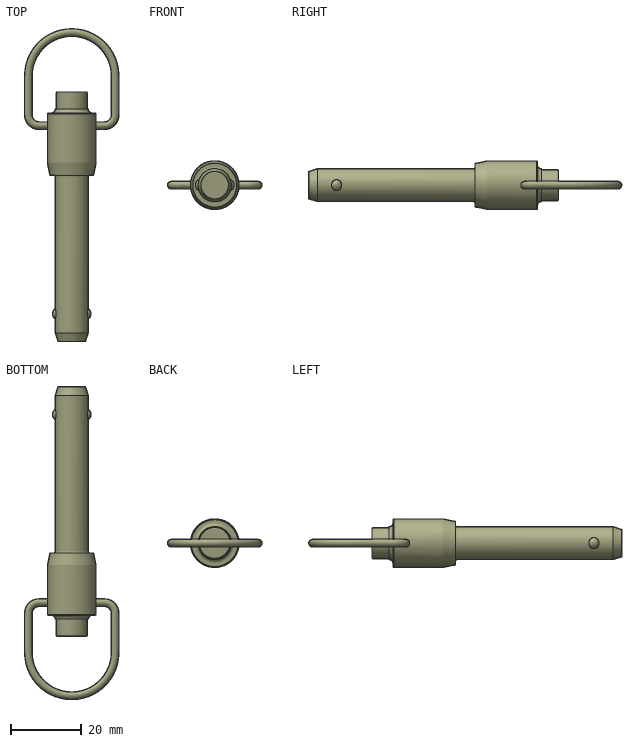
import cadquery as cq
import math

total_length = 89.3
shank_radius = 4.7
tip_radius = 3.9
tip_taper_length = 2.5

body_radius = 7.0
body_nose_radius = 6.25
shank_root_fillet = 0.4
body_start = 47.4
nose_taper_length = 3.6
body_end = 65.3
body_edge_chamfer = 0.3

button_radius = 4.5
button_end = 71.25
button_edge_fillet = 0.45
collar_end = 66.3
collar_top_radius = 4.7
collar_flare_radius = collar_end - body_end

ball_radius = 1.7
ball_reach = 5.5
ball_position = 7.95

ring_width = 27.0
wire_diameter = 2.2
wire_radius = wire_diameter / 2
straight_length = 11.2
bend_radius = 3.0


def make_turned_body():
    """Revolve shank, handle body, collar and button as one half profile."""
    edge = button_edge_fillet * (1 - math.sqrt(0.5))
    root = shank_root_fillet * (1 - math.sqrt(0.5))
    flare_center = (collar_top_radius + collar_flare_radius, collar_end)
    flare_offset = collar_flare_radius * math.sqrt(0.5)
    profile = (
        cq.Workplane("XY")
        .moveTo(0, 0)
        .lineTo(tip_radius, 0)
        .lineTo(shank_radius, tip_taper_length)
        .lineTo(shank_radius, body_start - shank_root_fillet)
        .threePointArc(
            (shank_radius + root, body_start - root),
            (shank_radius + shank_root_fillet, body_start),
        )
        .lineTo(body_nose_radius, body_start)
        .lineTo(body_radius, body_start + nose_taper_length)
        .lineTo(body_radius, body_end - body_edge_chamfer)
        .lineTo(body_radius - body_edge_chamfer, body_end)
        .lineTo(collar_top_radius + collar_flare_radius, body_end)
        .threePointArc(
            (flare_center[0] - flare_offset, flare_center[1] - flare_offset),
            (collar_top_radius, collar_end),
        )
        .lineTo(button_radius, collar_end)
        .lineTo(button_radius, button_end - button_edge_fillet)
        .threePointArc(
            (button_radius - edge, button_end - edge),
            (button_radius - button_edge_fillet, button_end),
        )
        .lineTo(0, button_end)
        .close()
    )
    return profile.revolve(360, (0, 0, 0), (0, 1, 0))


def make_ring():
    """Sweep the wire along the ring centreline, whose ends meet inside the body."""
    bow_radius = ring_width / 2 - wire_radius
    bow_center = total_length - ring_width / 2
    straight_end = bow_center - straight_length
    leg_position = straight_end - bend_radius
    leg_end = bow_radius - bend_radius
    bend_middle_x = leg_end + bend_radius * math.sqrt(0.5)
    bend_middle_y = straight_end - bend_radius * math.sqrt(0.5)
    path = (
        cq.Workplane("XY")
        .moveTo(0, leg_position)
        .lineTo(-leg_end, leg_position)
        .threePointArc((-bend_middle_x, bend_middle_y), (-bow_radius, straight_end))
        .lineTo(-bow_radius, bow_center)
        .threePointArc((0, bow_center + bow_radius), (bow_radius, bow_center))
        .lineTo(bow_radius, straight_end)
        .threePointArc((bend_middle_x, bend_middle_y), (leg_end, leg_position))
        .lineTo(0, leg_position)
    )
    wire_section = cq.Workplane("YZ").center(leg_position, 0).circle(wire_radius)
    return wire_section.sweep(path)


def make_ball(side):
    """Locking ball protruding from the shank; side is -1 or +1 along X."""
    ball_center = side * (ball_reach - ball_radius)
    return cq.Workplane("XY").sphere(ball_radius).translate((ball_center, ball_position, 0))


result = make_turned_body().union(make_ring())
for side in (-1, 1):
    result = result.union(make_ball(side))